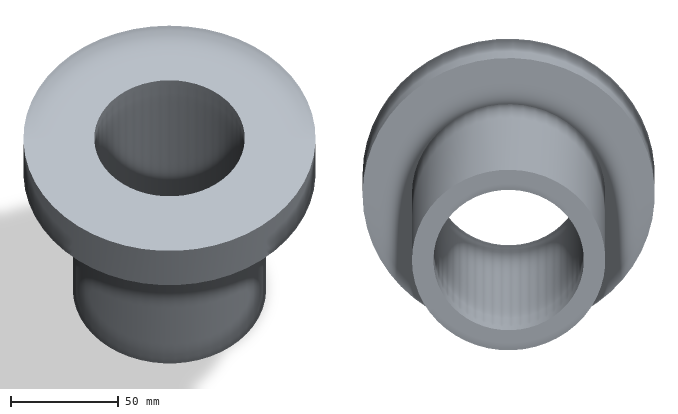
import cadquery as cq

flange_diameter = 136.0
flange_thickness = 25.0
barrel_diameter = 90.0
bore_diameter = 70.0
total_height = 110.0

barrel_length = total_height - flange_thickness

barrel = cq.Workplane("XY").circle(barrel_diameter / 2).extrude(barrel_length)
flange = (
    cq.Workplane("XY")
    .workplane(offset=barrel_length)
    .circle(flange_diameter / 2)
    .extrude(flange_thickness)
)

bore = cq.Workplane("XY").circle(bore_diameter / 2).extrude(total_height)

result = barrel.union(flange).cut(bore)